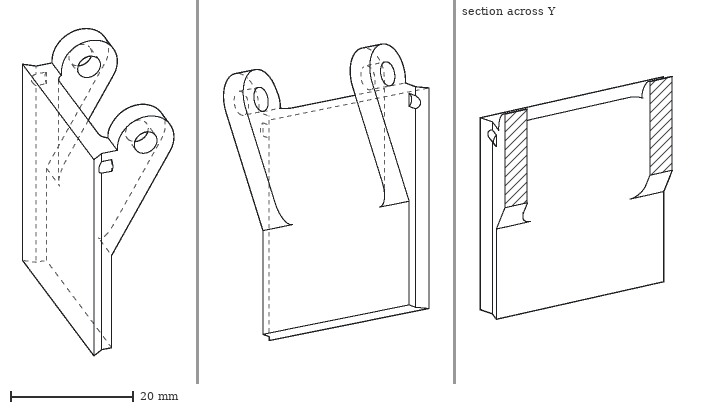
import cadquery as cq
import math

plate_width = 32.42
plate_thickness = 3.65
plate_height = 37.62
bevel_depth = 1.9

total_height = 43.0
total_depth = 14.6
ear_span = 29.65
ear_thickness = 4.0
ear_radius = 5.0
hole_diameter = 4.0
root_fillet = 2.0
brace_angle = math.radians(60)

bump_radius = 1.45
bump_projection = 0.5
bump_drop = 2.65

half_width = plate_width / 2
half_span = ear_span / 2
ear_inner_x = half_span - ear_thickness
hinge_y = total_depth - ear_radius
hinge_z = total_height - ear_radius
ear_front_y = hinge_y - ear_radius

tangent_y = hinge_y + ear_radius * math.sin(brace_angle)
tangent_z = hinge_z - ear_radius * math.cos(brace_angle)
brace_foot_z = tangent_z - (tangent_y - plate_thickness) * math.tan(brace_angle)


def plan_prism():
    """U-shaped plan section with bevelled plate edges and filleted ear roots."""
    outline = (
        cq.Workplane("XY")
        .moveTo(-half_width, 0)
        .lineTo(half_width, 0)
        .lineTo(half_span, bevel_depth)
        .lineTo(half_span, total_depth)
        .lineTo(ear_inner_x, total_depth)
        .lineTo(ear_inner_x, plate_thickness)
        .lineTo(-ear_inner_x, plate_thickness)
        .lineTo(-ear_inner_x, total_depth)
        .lineTo(-half_span, total_depth)
        .lineTo(-half_span, bevel_depth)
        .close()
    )
    prism = outline.extrude(total_height)
    plate_back = prism.faces(">Y[-2]")
    return plate_back.edges("|Z").fillet(root_fillet)


def side_prism():
    """Side outline of the plate and ears, extended over the full width."""
    return (
        cq.Workplane("YZ")
        .lineTo(plate_thickness, 0)
        .lineTo(plate_thickness, brace_foot_z)
        .lineTo(tangent_y, tangent_z)
        .threePointArc((hinge_y, total_height), (ear_front_y, hinge_z))
        .lineTo(ear_front_y, plate_height)
        .lineTo(0, plate_height)
        .close()
        .extrude(half_width, both=True)
    )


def hinge_hole():
    """Cutter for the pin hole through both ears."""
    return (
        cq.Workplane("YZ")
        .center(hinge_y, hinge_z)
        .circle(hole_diameter / 2)
        .extrude(half_width, both=True)
    )


def side_bumps():
    """Cylinders along Y whose front ends are buried in the bevels."""
    bump_x = half_span + bump_projection - bump_radius
    bump_z = plate_height - bump_drop
    return (
        cq.Workplane("XZ")
        .pushPoints([(-bump_x, bump_z), (bump_x, bump_z)])
        .circle(bump_radius)
        .extrude(-plate_thickness)
    )


body = plan_prism().intersect(side_prism()).cut(hinge_hole())
result = body.union(side_bumps())